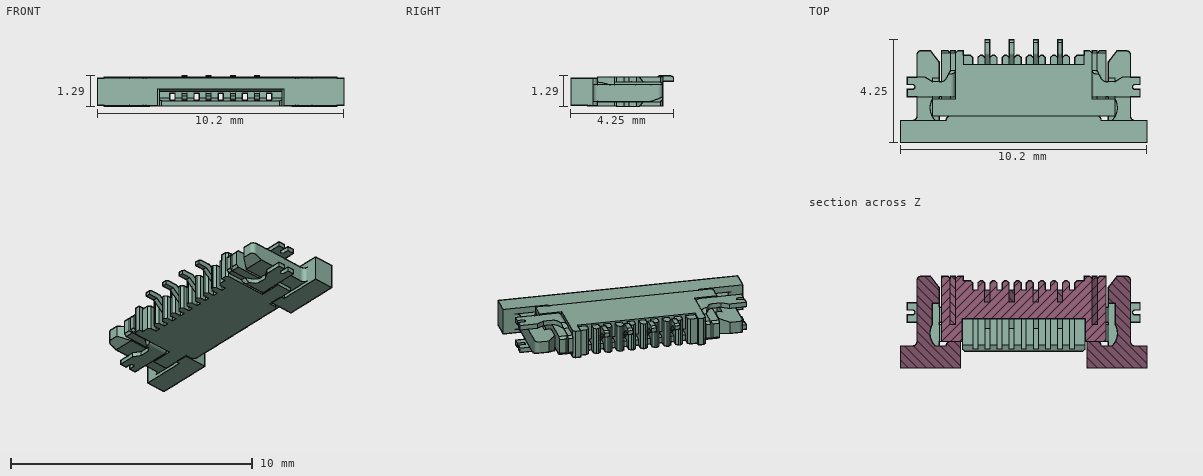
import cadquery as cq


housing_bottom = 0.03
housing_top = 1.23
housing_front = 1.1
housing_rear = 3.8
shell_half_width = 2.83
roof_rear = 3.23
roof_notch_half_width = 2.5
teeth_rear = 3.62
teeth_top = 1.16
ear_half_width = 3.77
ear_rear = 1.81
ear_front_height = 1.02
ear_hook_height = 0.82
ear_hook_mid = (1.49, 0.95)
ear_bottom_thickness = 0.17
ledge_half_width = 3.41
rear_chamfer = 0.1

mouth_half_width = 2.54
lip_front = 0.69
lip_corner = 0.1
lip_front_height = 0.24
mouth_floor = 0.36
mouth_roof = 0.63
mouth_roof_front = 0.73
mouth_lead = 0.25
mouth_back = 2.04

slot_pitch = 0.5
slot_count = 9
slot_width = 0.2
slot_bottom = 0.29
slot_top = 0.55
slot_mouth_chamfer = 0.1

contact_tip = 1.63
contact_tip_top = 0.44
contact_nose_radius = 0.12
contact_beam_top = 0.54
contact_slope_start = 2.04
contact_rise_front = 2.7
tail_bend = 3.65
tail_bend_radius = 0.12
contact_riser_offset = 0.16
tail_rear = 4.25
tail_top = 1.29
tail_thickness = 0.23
tail_tip_length = 0.12
tail_tip_drop = 0.06

clip_thickness = 0.2
clip_height = housing_top
clip_end = 4.81
clip_front = 1.9
clip_pad_rear = 2.71
clip_pad_inner = 4.08
clip_waist_outer = 3.77
clip_waist_inner = 3.42
clip_waist_rear = 2.52
clip_flare_x = 3.2
clip_flare_y = 2.65
clip_root_rear = 2.99
clip_bevel = 0.15
clip_notch_depth = 0.32
clip_notch_width = 0.19

slider_length = 10.2
slider_depth = 0.92
slider_bottom = 0.06
slider_top = 1.18
opening_half_width = 2.61
opening_top = mouth_roof_front
tongue_half_width = 3.2
tongue_taper = 0.12
tongue_corner_start = 0.97
tongue_corner_radius = 0.18
arm_inner = 3.49
arm_outer = 4.42
arm_bottom = 0.22
arm_top = 0.92
arm_radius = 0.18
arm_tip_inset = 0.37
arm_tip_taper = 0.48
arm_lead_height = 0.18
arm_lead_length = 0.47
recess_depth = 0.41
recess_side = ear_half_width
recess_bulge = 3.87
recess_rear = 2.67
recess_front_side = 3.65

clip_web_outer = shell_half_width + clip_thickness
ledge_bottom = clip_thickness
ledge_top = clip_height - clip_thickness
slot_xs = [(i - (slot_count - 1) / 2) * slot_pitch for i in range(slot_count)]
contact_xs = slot_xs[1::2]


def box(x0, x1, y0, y1, z0, z1):
    """Box between opposite corners."""
    return cq.Workplane("XY").box(x1 - x0, y1 - y0, z1 - z0, centered=False).translate((x0, y0, z0))


def wide_box(half_width, y0, y1, z0, z1):
    """Box centred on X = 0."""
    return box(-half_width, half_width, y0, y1, z0, z1)


def across_x(profile, x0, x1):
    """Extrude a closed (Y, Z) profile from x0 to x1."""
    return profile.extrude(x1 - x0).translate((x0, 0, 0))


def both_sides(right_half):
    """The right-hand feature together with its mirror image."""
    return right_half.union(right_half.mirror("YZ"))


def contact_profile():
    """(Y, Z) outline: rounded nose, level beam, sloping riser and flat solder tail."""
    tail_bottom = tail_top - tail_thickness
    rise_slope = (tail_top - contact_beam_top) / (tail_bend - contact_rise_front)
    lower_bend = contact_rise_front + contact_riser_offset
    upper_bend = lower_bend + (tail_bottom - slot_bottom) / rise_slope
    nose_centre_y = contact_tip + contact_nose_radius
    nose_diagonal = contact_nose_radius * (1 - 0.5 ** 0.5)
    return (
        cq.Workplane("YZ")
        .moveTo(contact_tip, contact_tip_top)
        .lineTo(contact_slope_start, contact_beam_top)
        .lineTo(contact_rise_front, contact_beam_top)
        .lineTo(tail_bend, tail_top)
        .lineTo(tail_rear - tail_tip_length, tail_top)
        .lineTo(tail_rear, tail_top - tail_tip_drop)
        .lineTo(tail_rear, tail_bottom)
        .lineTo(upper_bend, tail_bottom)
        .lineTo(lower_bend, slot_bottom)
        .lineTo(nose_centre_y, slot_bottom)
        .threePointArc(
            (contact_tip + nose_diagonal, slot_bottom + nose_diagonal),
            (contact_tip, slot_bottom + contact_nose_radius),
        )
        .close()
    )


def make_contact(x):
    contact = across_x(contact_profile(), x - slot_width / 2, x + slot_width / 2)
    upper_bend_edge = cq.selectors.NearestToPointSelector((x, tail_bend, tail_top))
    return contact.edges(upper_bend_edge).fillet(tail_bend_radius)


def clip_plan():
    """(X, Y) outline of the plates: solder pad, waist and root."""
    return (
        cq.Workplane("XY")
        .moveTo(shell_half_width, clip_front)
        .lineTo(clip_end, clip_front)
        .lineTo(clip_end, clip_pad_rear)
        .lineTo(clip_pad_inner, clip_pad_rear)
        .lineTo(clip_waist_outer, clip_waist_rear)
        .lineTo(clip_waist_inner, clip_waist_rear)
        .tangentArcPoint((clip_flare_x, clip_flare_y), relative=False)
        .lineTo(clip_web_outer, clip_root_rear)
        .lineTo(shell_half_width, clip_root_rear)
        .close()
        .extrude(clip_height)
    )


def make_right_clip():
    """C-shaped clip: upper and lower plates bent out of an upright web."""
    web = box(shell_half_width, clip_web_outer, ear_rear, housing_rear, ledge_bottom, ledge_top)
    web = web.faces(">Y").edges("|X").chamfer(rear_chamfer)
    plates = box(shell_half_width, clip_end, clip_front, clip_root_rear, 0, clip_height)
    plates = plates.faces("<X").edges("|Y").fillet(clip_thickness)
    plates = plates.cut(box(clip_web_outer, clip_end, clip_front, clip_root_rear, ledge_bottom, ledge_top))
    plates = plates.intersect(clip_plan())
    plates = plates.intersect(clip_bevels())
    notch_y = (clip_front + clip_pad_rear) / 2
    notch_slot = (
        cq.Workplane("XY")
        .center(clip_end, notch_y)
        .slot2D(2 * clip_notch_depth, clip_notch_width)
        .extrude(clip_height)
    )
    return web.union(plates).cut(notch_slot)


def clip_bevels():
    """Block whose sloping rear corners trim the bent roots of both plates."""
    side = (
        cq.Workplane("YZ")
        .moveTo(clip_front, 0)
        .lineTo(clip_root_rear - clip_bevel, 0)
        .lineTo(clip_root_rear, ledge_bottom)
        .lineTo(clip_root_rear, ledge_top)
        .lineTo(clip_root_rear - clip_bevel, clip_height)
        .lineTo(clip_front, clip_height)
        .close()
    )
    return across_x(side, shell_half_width, clip_end)


def arm_recess():
    """Pocket in the arm top that clears the housing's hooked ear."""
    return (
        cq.Workplane("XY")
        .workplane(offset=arm_top - recess_depth)
        .moveTo(arm_inner, slider_depth)
        .lineTo(recess_front_side, slider_depth)
        .threePointArc((recess_bulge, (slider_depth + ear_rear) / 2), (recess_side, ear_rear))
        .lineTo(recess_side, recess_rear)
        .lineTo(arm_inner, recess_rear)
        .close()
        .extrude(recess_depth)
    )


def make_right_arm():
    tip_inner = arm_inner + arm_tip_inset
    arm = (
        cq.Workplane("XY")
        .workplane(offset=arm_bottom)
        .moveTo(arm_inner, slider_depth)
        .lineTo(arm_outer + arm_radius, slider_depth)
        .radiusArc((arm_outer, slider_depth + arm_radius), arm_radius)
        .lineTo(arm_outer, housing_rear - arm_radius)
        .radiusArc((arm_outer - arm_radius, housing_rear), -arm_radius)
        .lineTo(tip_inner, housing_rear)
        .lineTo(arm_inner, housing_rear - arm_tip_taper)
        .close()
        .extrude(arm_top - arm_bottom)
    )
    lead_profile = (
        cq.Workplane("YZ")
        .moveTo(housing_rear - arm_lead_length, arm_bottom)
        .lineTo(housing_rear, arm_bottom)
        .lineTo(housing_rear, arm_bottom + arm_lead_height)
        .close()
    )
    return arm.cut(across_x(lead_profile, arm_inner, arm_outer)).cut(arm_recess())


def make_slider():
    bar = wide_box(slider_length / 2, 0, slider_depth, slider_bottom, slider_top)
    tongue_tip_half_width = tongue_half_width - tongue_taper
    tongue = (
        cq.Workplane("XY")
        .workplane(offset=slider_bottom)
        .moveTo(-tongue_half_width, slider_depth)
        .lineTo(tongue_half_width, slider_depth)
        .lineTo(tongue_half_width, tongue_corner_start)
        .radiusArc((tongue_tip_half_width, housing_front), -tongue_corner_radius)
        .lineTo(-tongue_tip_half_width, housing_front)
        .radiusArc((-tongue_half_width, tongue_corner_start), -tongue_corner_radius)
        .close()
        .extrude(slider_top - slider_bottom)
    )
    opening = wide_box(opening_half_width, 0, housing_front, slider_bottom, opening_top)
    return bar.union(tongue).cut(opening).union(both_sides(make_right_arm()))


def make_shell():
    """Main block with a stepped, toothed rear and a wider block across the front."""
    core = wide_box(ledge_half_width, housing_front, ear_rear, housing_bottom, housing_top)
    shell = wide_box(shell_half_width, housing_front, housing_rear, housing_bottom, housing_top)
    shell = shell.edges("|Z and >Y").chamfer(rear_chamfer)
    notch = wide_box(roof_notch_half_width, roof_rear, housing_rear, housing_bottom, housing_top)
    teeth = wide_box(roof_notch_half_width, roof_rear, teeth_rear, housing_bottom, teeth_top)
    return shell.cut(notch).union(teeth).union(core)


def make_right_ledge():
    """Side ledge standing off the shell by the thickness of the clip web."""
    ledge = box(clip_web_outer, ledge_half_width, ear_rear, housing_rear, ledge_bottom, ledge_top)
    ledge = ledge.edges("|Z and >Y and <X").chamfer(rear_chamfer)
    return ledge.faces(">Y").edges("|X").chamfer(rear_chamfer)


def make_right_ear():
    """Upper ear hooking down into the slider arm, and a flat lower ear."""
    hook = (
        cq.Workplane("YZ")
        .moveTo(housing_front, housing_top)
        .lineTo(ear_rear, housing_top)
        .lineTo(ear_rear, ear_hook_height)
        .threePointArc(ear_hook_mid, (housing_front, ear_front_height))
        .close()
    )
    lower_top = housing_bottom + ear_bottom_thickness
    lower = box(ledge_half_width, ear_half_width, housing_front, ear_rear, housing_bottom, lower_top)
    return across_x(hook, ledge_half_width, ear_half_width).union(lower)


def make_lip():
    """Floor of the mouth running forward through the slider, corners cut off."""
    lip = wide_box(mouth_half_width, lip_front, housing_front, housing_bottom, mouth_floor)
    return lip.edges("|Z and <Y").chamfer(lip_corner)


def mouth_cavity():
    """Cable cavity, tapered open at its floor and roof."""
    side = (
        cq.Workplane("YZ")
        .moveTo(lip_front, lip_front_height)
        .lineTo(lip_front + mouth_lead, mouth_floor)
        .lineTo(mouth_back, mouth_floor)
        .lineTo(mouth_back, mouth_roof)
        .lineTo(housing_front + mouth_lead, mouth_roof)
        .lineTo(housing_front, mouth_roof_front)
        .lineTo(lip_front, mouth_roof_front)
        .close()
    )
    return across_x(side, -mouth_half_width, mouth_half_width)


def contact_slot(x):
    """Through tunnel from the mouth, opening into a full-height flared slot between the teeth."""
    half = slot_width / 2
    flare = half + slot_mouth_chamfer
    tunnel = box(x - half, x + half, lip_front, roof_rear, slot_bottom, slot_top)
    gap = (
        cq.Workplane("XY")
        .polyline([
            (x - half, roof_rear),
            (x + half, roof_rear),
            (x + half, teeth_rear - slot_mouth_chamfer),
            (x + flare, teeth_rear),
            (x - flare, teeth_rear),
            (x - half, teeth_rear - slot_mouth_chamfer),
        ])
        .close()
        .extrude(housing_top)
    )
    return tunnel.union(gap)


def make_housing():
    housing = make_shell().union(both_sides(make_right_ledge())).union(both_sides(make_right_ear()))
    housing = housing.union(make_lip()).cut(mouth_cavity())
    for x in slot_xs:
        housing = housing.cut(contact_slot(x))
    for x in contact_xs:
        housing = housing.cut(make_contact(x))
    return housing


right_clip = make_right_clip()
clips = [right_clip, right_clip.mirror("YZ")]
contacts = [make_contact(x) for x in contact_xs]
slider = make_slider()
housing = make_housing()

result = cq.Compound.makeCompound([
    housing.solids().val(),
    slider.solids().val(),
    *[clip.solids().val() for clip in clips],
    *[contact.solids().val() for contact in contacts],
])